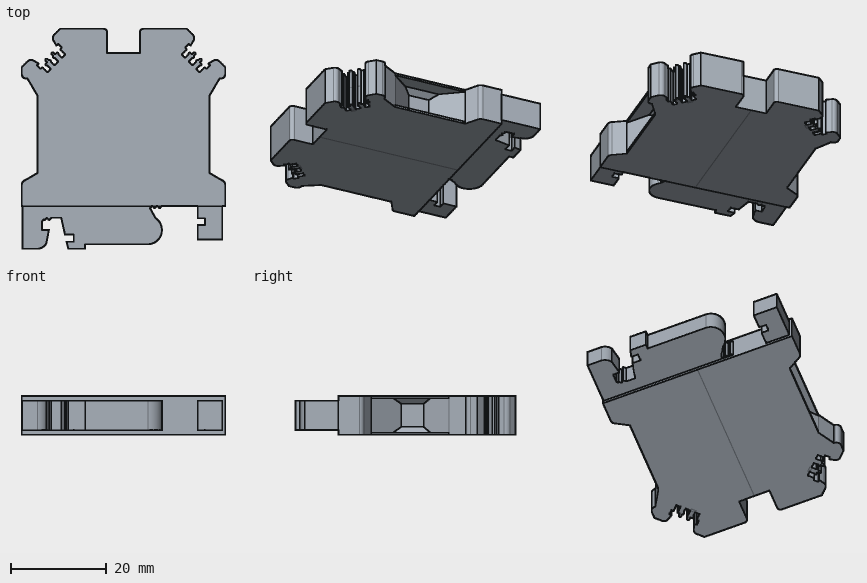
import cadquery as cq
import math

total_width = 42.5
total_height = 45.95
thickness = 8.2
foot_depth = 8.95
half_width = total_width / 2
housing_top = total_height - foot_depth

waist_half_width = 17.95
flare_top = 6.9
flare_drop = (half_width - waist_half_width) * math.tan(math.radians(30))
waist_top = 23.05
ear_bottom = 26.55
ear_step = 1.2
corner_chamfer = 8.05
ear_radius = 1.0
top_notch_half_width = 3.4
top_notch_depth = 5.05
top_notch_radius = 0.75

comb_depth = 4.55
tooth_top = 1.5
mouth_half_width = 2.6
mouth_top_half_width = 3.12
undercut_half_width = 3.12
undercut_top = 2.55
tooth_offset = 1.1
tooth_width = 1.1
tooth_head_width = 1.4
tooth_head_bottom = 1.05
pin_width = 0.55
pin_offset = 0.9
pin_top = 2.25
root_overlap = 0.45

pocket_wall = 0.5
pocket_depth = 4.45
pocket_straight_depth = 3.25
pocket_floor_half_thickness = 2.4
pocket_floor_bottom = 13.15
pocket_floor_top = 17.8

foot_thickness = 6.15
foot_inset = 0.15
rail_top = -2.5
serration_pitch = 0.95
serration_depth = 0.5
hook_inner_x = -16.95
hook_lip = (-15.55, -4.95)
hook_arc_middle = (-16.75, -8.55)
hook_side_end = (-16.1, -7.8)
hook_arc_end_x = -17.95
hook_inner_top = -3.2
serration_start = (-16.68, -2.8)
serration_end_x = -15.0
latch_outline = [
    (-13.0, rail_top),
    (-12.2, -5.95),
    (-10.4, -5.95),
    (-10.4, -7.45),
    (-11.9, -7.45),
    (-11.55, -foot_depth),
]
latch_right = -8.0
nose_x = 5.05
nose_radius = 3.0
foot_sole = -8.0
neck = [(6.65, -2.45), (5.55, -0.45), (5.93, 0)]
underside_tooth_tips = (6.5, 7.55)
end_block_left = 15.45
end_block_right = 20.65
end_block_bottom = -7.0
end_slot_depth = 1.55
end_slot_top = -2.55
end_slot_bottom = -3.95


def prism(points, height, plane="XY"):
    """Polygon extruded symmetrically about its plane."""
    return cq.Workplane(plane).polyline(points).close().extrude(height / 2, both=True)


def round_upright_edge(body, point, radius):
    """Round the edge along Z that passes through the given point."""
    edge = body.edges("|Z").edges(cq.selectors.NearestToPointSelector((point.x, point.y, 0)))
    return edge.fillet(radius)


chamfer_middle_x = -half_width + corner_chamfer / 2
chamfer_middle_y = housing_top - corner_chamfer / 2
comb_shift = comb_depth / math.sqrt(2)
comb_plane = cq.Plane(
    origin=(chamfer_middle_x + comb_shift, chamfer_middle_y - comb_shift, 0),
    xDir=(1, 1, 0),
    normal=(0, 0, 1),
)


def comb_box(u_middle, width, v_min, v_max):
    """Block across the full thickness, placed by the comb's own axes."""
    u_min = u_middle - width / 2
    u_max = u_middle + width / 2
    corners = [(u_min, v_min), (u_max, v_min), (u_max, v_max), (u_min, v_max)]
    return prism(corners, thickness, comb_plane)


def half_housing_blank():
    flare_corner = cq.Vector(-half_width, flare_top - flare_drop)
    ear_corner = cq.Vector(-half_width, ear_bottom)
    notch_corner = cq.Vector(-top_notch_half_width, housing_top)
    notch_floor = housing_top - top_notch_depth
    outline = [
        (0, 0),
        (-half_width, 0),
        (flare_corner.x, flare_corner.y),
        (-waist_half_width, flare_top),
        (-waist_half_width, waist_top),
        (-half_width + ear_step, ear_bottom),
        (ear_corner.x, ear_corner.y),
        (-half_width, housing_top - corner_chamfer),
        (-half_width + corner_chamfer, housing_top),
        (notch_corner.x, notch_corner.y),
        (-top_notch_half_width, notch_floor),
        (0, notch_floor),
    ]
    body = prism(outline, thickness)
    body = round_upright_edge(body, flare_corner, ear_radius)
    body = round_upright_edge(body, ear_corner, ear_radius)
    return round_upright_edge(body, notch_corner, top_notch_radius)


def comb_tooth(middle, pin_middle):
    """Tooth with a wider head and a thin round-tipped pin on top."""
    stem = comb_box(middle, tooth_width, -root_overlap, tooth_head_bottom)
    head = comb_box(middle, tooth_head_width, tooth_head_bottom, tooth_top)
    pin_radius = pin_width / 2
    tip_center = pin_top - pin_radius
    pin = comb_box(pin_middle, pin_width, tooth_head_bottom, tip_center)
    tip = cq.Workplane(comb_plane).center(pin_middle, tip_center).circle(pin_radius)
    return stem.union(head).union(pin).union(tip.extrude(thickness / 2, both=True))


def add_comb(body):
    """Open the mouth between the two ears, undercut the ears and add the teeth."""
    half_mouth = [
        (mouth_half_width, 0),
        (mouth_half_width, undercut_top),
        (mouth_top_half_width, comb_depth),
    ]
    mouth = half_mouth + [(-u, v) for u, v in reversed(half_mouth)]
    body = body.cut(prism(mouth, thickness, comb_plane))
    for side in (-1, 1):
        ear_tip = comb_plane.toWorldCoords((side * mouth_top_half_width, comb_depth))
        body = round_upright_edge(body, ear_tip, ear_radius)

    body = body.cut(comb_box(0, 2 * undercut_half_width, tooth_top, undercut_top))
    for side in (-1, 1):
        body = body.union(comb_tooth(side * tooth_offset, side * pin_offset))
    return body


def side_pocket():
    """Pocket with slanted ends whose Z walls close in near the floor."""
    opening_x = -waist_half_width
    floor_x = opening_x + pocket_depth
    bend_x = opening_x + pocket_straight_depth
    opening_half_thickness = thickness / 2 - pocket_wall
    plan = [
        (opening_x, flare_top),
        (floor_x, pocket_floor_bottom),
        (floor_x, pocket_floor_top),
        (opening_x, waist_top),
    ]
    half_section = [
        (opening_x, opening_half_thickness),
        (bend_x, opening_half_thickness),
        (floor_x, pocket_floor_half_thickness),
    ]
    section = half_section + [(x, -z) for x, z in reversed(half_section)]
    return prism(plan, thickness).intersect(prism(section, 2 * total_height, "XZ"))


def housing():
    half = add_comb(half_housing_blank()).cut(side_pocket())
    return half.union(half.mirror("YZ"))


def hook_foot():
    """Long foot with the rail hook at its left end and a rounded nose."""
    left = -half_width + foot_inset
    nose_y = foot_sole + nose_radius
    nose_side = (nose_x + nose_radius, nose_y)
    nose_end = (nose_x + nose_radius * math.sqrt(0.5), nose_y + nose_radius * math.sqrt(0.5))

    serration = [serration_start]
    for tooth in (1, 0):
        valley_x = serration_end_x - tooth * serration_pitch
        serration.append((valley_x - serration_pitch / 2, rail_top - serration_depth))
        serration.append((valley_x, rail_top))

    hook_opening = [hook_lip, (hook_inner_x, hook_lip[1]), (hook_inner_x, hook_inner_top)]
    profile = (
        cq.Workplane("XY")
        .moveTo(left, 0)
        .lineTo(left, -foot_depth)
        .lineTo(hook_arc_end_x, -foot_depth)
        .threePointArc(hook_arc_middle, hook_side_end)
    )
    outline_to_nose = hook_opening + serration + latch_outline + [
        (latch_right, -foot_depth),
        (latch_right, foot_sole),
        (nose_x, foot_sole),
    ]
    for point in outline_to_nose:
        profile = profile.lineTo(*point)
    profile = profile.threePointArc(nose_side, nose_end)
    for point in neck:
        profile = profile.lineTo(*point)
    return profile.close().extrude(foot_thickness / 2, both=True)


def underside_tooth(tip_x):
    """Small triangular tooth hanging from the underside of the housing."""
    half_base = serration_pitch / 2
    outline = [(tip_x - half_base, 0), (tip_x, -serration_depth), (tip_x + half_base, 0)]
    return prism(outline, foot_thickness)


def end_block():
    """Short foot at the right end with a slot in its inner side."""
    slot_floor = end_block_left + end_slot_depth
    outline = [
        (end_block_left, 0),
        (end_block_left, end_slot_top),
        (slot_floor, end_slot_top),
        (slot_floor, end_slot_bottom),
        (end_block_left, end_slot_bottom),
        (end_block_left, end_block_bottom),
        (end_block_right, end_block_bottom),
        (end_block_right, 0),
    ]
    return prism(outline, foot_thickness)


result = housing().union(hook_foot()).union(end_block())
for tip_x in underside_tooth_tips:
    result = result.union(underside_tooth(tip_x))